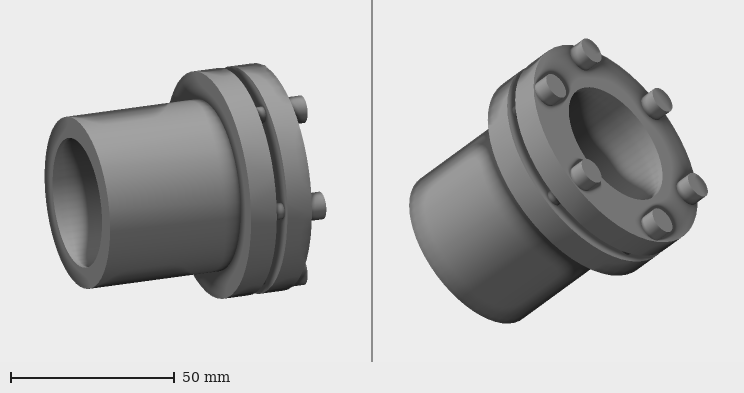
import cadquery as cq
import math

flange_diameter = 70.0
sleeve_diameter = 53.0
bore_diameter = 40.0
hub_diameter = 49.0

sleeve_length = 43.0
flange_thickness = 8.5
gap_width = 3.5
ring_thickness = 8.05
head_height = 5.0

screw_count = 6
screw_circle_radius = 30.25
shank_diameter = 5.0
head_diameter = 8.5

flange_start = sleeve_length
flange_end = flange_start + flange_thickness
ring_start = flange_end + gap_width
ring_end = ring_start + ring_thickness


def cylinder(diameter, start, length, centers=((0, 0),)):
    """Cylinders along +Y from the given station, centred on (x, z) points."""
    plane = cq.Plane(origin=(0, start, 0), xDir=(1, 0, 0), normal=(0, 1, 0))
    points = [(x, -z) for x, z in centers]
    return cq.Workplane(plane).pushPoints(points).circle(diameter / 2).extrude(length)


def make_body():
    """Sleeve, flange, neck and clamping ring with the through bore."""
    body = cylinder(sleeve_diameter, 0, sleeve_length)
    body = body.union(cylinder(flange_diameter, flange_start, flange_thickness))
    body = body.union(cylinder(hub_diameter, flange_end, gap_width))
    body = body.union(cylinder(flange_diameter, ring_start, ring_thickness))
    return body.cut(cylinder(bore_diameter, 0, ring_end))


def add_screws(body):
    """Shanks crossing the gap and heads standing on the clamping ring."""
    angles = [2 * math.pi * i / screw_count for i in range(screw_count)]
    centers = [
        (screw_circle_radius * math.cos(angle), screw_circle_radius * math.sin(angle))
        for angle in angles
    ]
    shanks = cylinder(shank_diameter, flange_end, gap_width, centers)
    heads = cylinder(head_diameter, ring_end, head_height, centers)
    return body.union(shanks).union(heads)


result = add_screws(make_body())